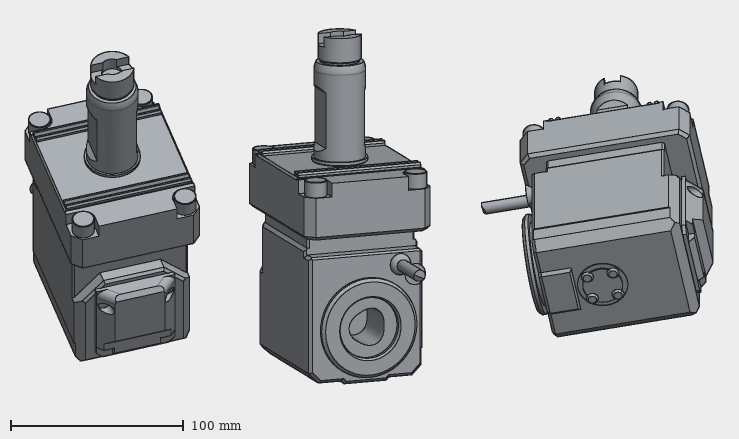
import cadquery as cq
import math

TOTAL_HEIGHT = 199.1

BLOCK_LENGTH, BLOCK_WIDTH = 100.0, 78.0
BLOCK_BOTTOM, BLOCK_TOP = 89.8, 123.2
BLOCK_CORNER = 5.4
BLOCK_BOTTOM_CHAMFER = 2.0
PLATE_TOP = 123.8
PLATE_LENGTH = 65.3
PLATE_BEVEL_WIDTH, PLATE_BEVEL_HEIGHT = 1.0, 1.4

RIB_CENTER = 29.0
RIB_WIDTH = 7.0
RIB_SHOULDER, RIB_TOP, RIB_VALLEY = 125.2, 126.5, 124.2
RIB_CREST_INNER, RIB_CREST_OUTER = 1.4, 2.5
RIB_VALLEY_WIDTH = 0.8
RIB_LENGTH = 75.7

SCREW_X, SCREW_Y = 42.5, 30.9
SCREW_DIAMETER = 13.0
SCREW_TOP = 124.2
SCREW_EDGE = 0.4
POCKET_FLOOR = 115.0
POCKET_REACH = 7.2

SHAFT_DIAMETER = 30.0
SHAFT_SHOULDER, SHAFT_END = 178.0, 183.0
SHAFT_END_DIAMETER = 27.5
COLLAR_DIAMETER, COLLAR_TOP = 32.5, 126.2
COLLAR_CHAMFER = 0.5
NECK_DIAMETER = 23.0
HEAD_DIAMETER, HEAD_BOTTOM, HEAD_CHAMFER = 25.0, 184.0, 0.8
HEAD_SLOT_WIDTH, HEAD_SLOT_DEPTH = 9.5, 6.0
HEAD_HOLE_DIAMETER, HEAD_HOLE_DEPTH = 12.5, 8.0
FLAT_OFFSET = 12.0
FLAT_BOTTOM, FLAT_TOP = 133.8, 166.6

BODY_HALF_WIDTH = 35.0
BODY_BOTTOM = 3.0
BODY_BOTTOM_CHAMFER = 6.2
BODY_LEFT, BODY_RIGHT = -43.2, 43.2
BODY_MID = 34.8
LEFT_TOP, LEFT_CHAMFER, LEFT_TOP_CHAMFER = 78.0, 1.8, 1.2
MID_SHOULDER, MID_TOP = 79.8, 82.0
NECK_HALF_WIDTH, NECK_CORNER = 33.2, 1.2
RIGHT_SHOULDER, RIGHT_TOP = 52.2, 68.9
RIGHT_CHAMFER, RIGHT_TOP_CHAMFER = 5.4, 1.5
SIDE_STEP_TOP, SIDE_STEP_DEPTH = 18.7, 0.5

FOOT_BAR_BOTTOM, FOOT_BAR_END = 1.2, -24.9
FOOT_BAR_HALF_WIDTH, FOOT_BAR_SLOPE = 14.1, 1.2
PAD_X = -8.0
PAD_DIAMETER, PAD_BOTTOM = 29.0, 2.4
PEDESTAL_DIAMETER, PEDESTAL_BOTTOM = 23.0, 1.4
FOOT_OFFSET = 7.5
FOOT_DIAMETER, FOOT_TIP_DIAMETER = 7.0, 4.8

FLANGE_Z = 34.8
FLANGE_DIAMETER, FLANGE_FACE, FLANGE_BACK = 59.0, -50.0, -46.2
FLANGE_CHAMFER = 1.8
FLANGE_NECK_DIAMETER = 49.0
RECESS_DIAMETER, RECESS_DEPTH, RECESS_CHAMFER = 36.0, 4.2, 1.0
RECESS_CHAMFER_DEPTH = 1.8
CAM_CORNER_RADIUS, CAM_SIDE_RADIUS, CAM_DEPTH = 11.5, 10.2, 27.9

CABLE_Y, CABLE_Z, CABLE_DIAMETER = -21.1, 69.9, 7.0
CABLE_END = -74.7
CABLE_CUT_DEPTH, CABLE_CUT_OFFSET, CABLE_CUT_ANGLE = 1.8, 0.5, 24.0
GROMMET_DIAMETER, GROMMET_FACE = 12.5, -47.2
INDICATOR_Y, INDICATOR_Z = -29.0, 64.1
INDICATOR_DIAMETER, INDICATOR_BASE_DIAMETER, INDICATOR_FACE = 12.5, 7.5, -46.5

COVER_FACE, COVER_HALF_WIDTH = 45.4, 23.9
COVER_BOTTOM, COVER_TOP, COVER_CHAMFER = 10.4, 65.0, 4.0
KNOB_FACE, KNOB_FACE_HALF_WIDTH = 54.2, 15.1
KNOB_STEP = 49.0
KNOB_BOTTOM, KNOB_STEP_TOP = 14.7, 24.5
KNOB_EDGE, KNOB_TOP_FILLET = 2.8, 4.8
KNOB_SIDE_BOTTOM, KNOB_TAIL_HALF_WIDTH = 19.1, 14.0
SCALLOP_Y, SCALLOP_Z, SCALLOP_DIAMETER = 19.1, 54.2, 7.5


def box(x0, x1, y0, y1, z0, z1):
    return cq.Workplane("XY").box(x1 - x0, y1 - y0, z1 - z0, centered=False).translate((x0, y0, z0))


def disc(x, y, z0, z1, diameter):
    return cq.Workplane("XY", origin=(x, y, z0)).circle(diameter / 2).extrude(z1 - z0)


def disc_along_x(x0, x1, y, z, diameter):
    return cq.Workplane("YZ", origin=(x0, y, z)).circle(diameter / 2).extrude(x1 - x0)


def cone_along_x(x0, diameter0, x1, diameter1, y, z):
    profile = [(x0, 0), (x0, diameter0 / 2), (x1, diameter1 / 2), (x1, 0)]
    return cq.Workplane("XY").polyline(profile).close().revolve(360, (0, 0), (1, 0)).translate((0, y, z))


def prism_along_x(outline, x0, x1):
    """Extrude a closed (Y, Z) outline from x0 to x1."""
    return cq.Workplane("YZ", origin=(x0, 0, 0)).polyline(outline).close().extrude(x1 - x0)


def prism_along_y(outline, half_width):
    """Extrude a closed (X, Z) outline to both sides of Y = 0."""
    return cq.Workplane("XZ").polyline(outline).close().extrude(half_width, both=True)


def mirrored(points):
    """Complete a half outline by mirroring it about its second axis."""
    return points + [(-a, b) for a, b in reversed(points)]


def make_block():
    height = BLOCK_TOP - BLOCK_BOTTOM
    block = (
        cq.Workplane("XY", origin=(0, 0, BLOCK_BOTTOM))
        .rect(BLOCK_LENGTH, BLOCK_WIDTH)
        .extrude(height)
        .edges("|Z")
        .chamfer(BLOCK_CORNER)
        .faces("<Z")
        .edges()
        .chamfer(BLOCK_BOTTOM_CHAMFER)
    )
    half_width = BLOCK_WIDTH / 2
    bevel_bottom = PLATE_TOP - PLATE_BEVEL_HEIGHT
    half_length = PLATE_LENGTH / 2
    for side in (1, -1):
        edge = sorted((side * half_width, side * (half_width - PLATE_BEVEL_WIDTH)))
        block = block.cut(box(-half_length, half_length, *edge, bevel_bottom, BLOCK_TOP))
    plate = prism_along_x(
        mirrored([
            (half_width, BLOCK_BOTTOM + BLOCK_BOTTOM_CHAMFER),
            (half_width, bevel_bottom),
            (half_width - PLATE_BEVEL_WIDTH, PLATE_TOP),
        ]),
        -half_length,
        half_length,
    )
    return block.union(plate)


def make_ribs():
    rib_outline = mirrored([
        (RIB_WIDTH / 2, PLATE_TOP - PLATE_BEVEL_HEIGHT),
        (RIB_WIDTH / 2, RIB_SHOULDER),
        (RIB_CREST_OUTER, RIB_TOP),
        (RIB_CREST_INNER, RIB_TOP),
        (RIB_VALLEY_WIDTH / 2, RIB_VALLEY),
    ])
    rib = prism_along_y(rib_outline, RIB_LENGTH / 2)
    ribs = rib.translate((-RIB_CENTER, 0, 0)).union(rib.translate((RIB_CENTER, 0, 0)))
    return ribs


def add_screws(part):
    pocket_x = SCREW_X - POCKET_REACH
    pocket_y = SCREW_Y - POCKET_REACH
    for side_x in (-1, 1):
        for side_y in (-1, 1):
            xs = sorted((side_x * pocket_x, side_x * BLOCK_LENGTH))
            ys = sorted((side_y * pocket_y, side_y * BLOCK_WIDTH))
            inner_corner = ("<X" if side_x > 0 else ">X", "<Y" if side_y > 0 else ">Y")
            pocket = (
                box(*xs, *ys, POCKET_FLOOR, TOTAL_HEIGHT)
                .faces(inner_corner[0])
                .edges(inner_corner[1])
                .fillet(POCKET_REACH)
            )
            screw = disc(side_x * SCREW_X, side_y * SCREW_Y, POCKET_FLOOR, SCREW_TOP, SCREW_DIAMETER)
            part = part.cut(pocket).union(screw.faces(">Z").edges().chamfer(SCREW_EDGE))
    return part


def make_shaft():
    radius = SHAFT_DIAMETER / 2
    end_radius = SHAFT_END_DIAMETER / 2
    shoulder_mid = ((radius + end_radius) / 2 + 0.4, (SHAFT_SHOULDER + SHAFT_END) / 2)
    shaft = (
        cq.Workplane("XZ")
        .moveTo(0, BLOCK_BOTTOM)
        .lineTo(radius, BLOCK_BOTTOM)
        .lineTo(radius, SHAFT_SHOULDER)
        .threePointArc(shoulder_mid, (end_radius, SHAFT_END))
        .lineTo(0, SHAFT_END)
        .close()
        .revolve(360, (0, 0), (0, 1))
    )
    depth = radius - FLAT_OFFSET
    flat = prism_along_x(
        [
            (FLAT_OFFSET, FLAT_BOTTOM),
            (FLAT_OFFSET, FLAT_TOP),
            (FLAT_OFFSET + depth, FLAT_TOP + depth),
            (FLAT_OFFSET + depth, FLAT_BOTTOM - depth),
        ],
        -radius,
        radius,
    )
    shaft = shaft.cut(flat).cut(flat.mirror("XZ"))
    collar = disc(0, 0, PLATE_TOP, COLLAR_TOP, COLLAR_DIAMETER).faces("<Z").edges().chamfer(COLLAR_CHAMFER)
    neck = disc(0, 0, BLOCK_BOTTOM, TOTAL_HEIGHT, NECK_DIAMETER)
    head = disc(0, 0, HEAD_BOTTOM, TOTAL_HEIGHT, HEAD_DIAMETER).faces("<Z").edges().chamfer(HEAD_CHAMFER)
    slot = box(
        -HEAD_SLOT_WIDTH / 2, HEAD_SLOT_WIDTH / 2,
        -HEAD_DIAMETER, HEAD_DIAMETER,
        TOTAL_HEIGHT - HEAD_SLOT_DEPTH, TOTAL_HEIGHT,
    )
    hole = disc(0, 0, TOTAL_HEIGHT - HEAD_HOLE_DEPTH, TOTAL_HEIGHT, HEAD_HOLE_DIAMETER)
    return shaft.union(collar).union(neck).union(head).cut(slot).cut(hole)


def lower_outline(upper_points):
    """Half-width housing outline: chamfered bottom, then the given upper points."""
    return mirrored([
        (BODY_HALF_WIDTH - BODY_BOTTOM_CHAMFER, BODY_BOTTOM),
        (BODY_HALF_WIDTH, BODY_BOTTOM + BODY_BOTTOM_CHAMFER),
        *upper_points,
    ])


def make_right_end():
    shoulder_run = RIGHT_TOP - RIGHT_SHOULDER
    outline = lower_outline([
        (BODY_HALF_WIDTH, RIGHT_SHOULDER),
        (BODY_HALF_WIDTH - shoulder_run, RIGHT_TOP),
    ])
    plan = [
        (0, BODY_HALF_WIDTH),
        (BODY_RIGHT - RIGHT_CHAMFER, BODY_HALF_WIDTH),
        (BODY_RIGHT, BODY_HALF_WIDTH - RIGHT_CHAMFER),
    ]
    plan += [(x, -y) for x, y in reversed(plan)]
    profile = [
        (0, BODY_BOTTOM),
        (BODY_RIGHT - RIGHT_CHAMFER, BODY_BOTTOM),
        (BODY_RIGHT, BODY_BOTTOM + RIGHT_CHAMFER),
        (BODY_RIGHT, RIGHT_TOP),
        (0, RIGHT_TOP),
    ]
    end = prism_along_x(outline, 0, BODY_RIGHT)
    end = end.intersect(cq.Workplane("XY").polyline(plan).close().extrude(RIGHT_TOP))
    end = end.intersect(prism_along_y(profile, BODY_HALF_WIDTH))
    upper_edges = end.faces(">X").edges(cq.selectors.BoxSelector(
        (0, -BODY_HALF_WIDTH, RIGHT_SHOULDER),
        (2 * BODY_RIGHT, BODY_HALF_WIDTH, 2 * RIGHT_TOP),
    ))
    return upper_edges.chamfer(RIGHT_TOP_CHAMFER)


def make_left_end():
    outline = lower_outline([(BODY_HALF_WIDTH, LEFT_TOP)])
    end = prism_along_x(outline, BODY_LEFT, -BODY_MID)
    bar_top_half_width = FOOT_BAR_HALF_WIDTH + BODY_BOTTOM - FOOT_BAR_BOTTOM - FOOT_BAR_SLOPE
    bar_outline = mirrored([
        (FOOT_BAR_HALF_WIDTH - FOOT_BAR_SLOPE, FOOT_BAR_BOTTOM),
        (bar_top_half_width, BODY_BOTTOM),
        (bar_top_half_width, LEFT_TOP / 2),
    ])
    bar = prism_along_x(bar_outline, BODY_LEFT, -BODY_MID)
    end = end.union(bar).faces("<X").edges("not >Z").chamfer(LEFT_CHAMFER)
    end = end.faces(">Z").edges("|X").chamfer(LEFT_CHAMFER)
    end = end.faces(">Z").edges("<X").chamfer(LEFT_TOP_CHAMFER)
    corner_fill = box(
        -BODY_MID, NECK_CORNER - BODY_MID,
        -BODY_HALF_WIDTH, BODY_HALF_WIDTH,
        RIGHT_SHOULDER, LEFT_TOP,
    )
    end = end.union(corner_fill.edges(">Z and |X").chamfer(LEFT_CHAMFER))
    bar_rest = prism_along_x(bar_outline, -BODY_MID, FOOT_BAR_END + FOOT_BAR_SLOPE)
    bar_rest = bar_rest.faces("<Z").edges(">X").chamfer(FOOT_BAR_SLOPE)
    return end.union(bar_rest)


def make_housing():
    middle = prism_along_x(
        lower_outline([(BODY_HALF_WIDTH, MID_SHOULDER), (NECK_HALF_WIDTH, MID_TOP)]),
        -BODY_MID,
        BODY_MID,
    )
    middle = middle.edges("|Z").chamfer(NECK_CORNER)
    core = prism_along_x(lower_outline([(BODY_HALF_WIDTH, RIGHT_SHOULDER)]), -BODY_MID, BODY_MID)
    neck = (
        box(-BODY_MID, BODY_MID, -NECK_HALF_WIDTH, NECK_HALF_WIDTH, RIGHT_TOP, BLOCK_BOTTOM)
        .edges("|Z")
        .chamfer(NECK_CORNER)
    )
    housing = middle.union(core).union(neck).union(make_left_end()).union(make_right_end())
    side_step = box(
        BODY_LEFT, BODY_RIGHT,
        -BODY_HALF_WIDTH, SIDE_STEP_DEPTH - BODY_HALF_WIDTH,
        0, SIDE_STEP_TOP,
    )
    return housing.cut(side_step)


def make_feet():
    feet = disc(PAD_X, 0, PAD_BOTTOM, BODY_BOTTOM, PAD_DIAMETER)
    feet = feet.union(disc(PAD_X, 0, PEDESTAL_BOTTOM, BODY_BOTTOM, PEDESTAL_DIAMETER))
    foot = (
        cq.Workplane("XY")
        .circle(FOOT_TIP_DIAMETER / 2)
        .workplane(offset=PEDESTAL_BOTTOM)
        .circle(FOOT_DIAMETER / 2)
        .loft()
    )
    for side_x in (-1, 1):
        for side_y in (-1, 1):
            feet = feet.union(foot.translate((PAD_X + side_x * FOOT_OFFSET, side_y * FOOT_OFFSET, 0)))
    return feet


def cam_point(angle):
    """Three-lobed outline with one lobe pointing along +Y."""
    mean = (CAM_CORNER_RADIUS + CAM_SIDE_RADIUS) / 2
    swing = (CAM_CORNER_RADIUS - CAM_SIDE_RADIUS) / 2
    radius = mean + swing * math.cos(3 * angle)
    return radius * math.cos(angle), radius * math.sin(angle)


def add_flange(part):
    rim = disc_along_x(FLANGE_FACE, FLANGE_BACK, 0, FLANGE_Z, FLANGE_DIAMETER)
    rim = rim.faces("<X").edges().chamfer(FLANGE_CHAMFER)
    neck = disc_along_x(FLANGE_BACK, BODY_LEFT, 0, FLANGE_Z, FLANGE_NECK_DIAMETER)
    recess_floor = FLANGE_FACE + RECESS_DEPTH
    recess = disc_along_x(FLANGE_FACE, recess_floor, 0, FLANGE_Z, RECESS_DIAMETER)
    lead_in = cone_along_x(
        FLANGE_FACE, RECESS_DIAMETER + 2 * RECESS_CHAMFER,
        FLANGE_FACE + RECESS_CHAMFER_DEPTH, RECESS_DIAMETER,
        0, FLANGE_Z,
    )
    cam_points = [cam_point(math.radians(angle)) for angle in range(0, 360, 20)]
    cam = (
        cq.Workplane("YZ", origin=(recess_floor, 0, FLANGE_Z))
        .spline(cam_points, periodic=True)
        .close()
        .extrude(CAM_DEPTH)
    )
    return part.union(rim).union(neck).cut(recess).cut(lead_in).cut(cam)


def make_cable():
    radius = CABLE_DIAMETER / 2
    cable = disc_along_x(CABLE_END, BODY_LEFT, 0, 0, CABLE_DIAMETER)
    tip_cut = prism_along_y(
        [
            (CABLE_END, -CABLE_CUT_OFFSET),
            (CABLE_END, -radius),
            (CABLE_END + CABLE_CUT_DEPTH, -radius),
        ],
        radius,
    )
    cable = cable.cut(tip_cut.rotate((0, 0, 0), (1, 0, 0), CABLE_CUT_ANGLE))
    outer = GROMMET_DIAMETER / 2
    bulge = ((BODY_LEFT + GROMMET_FACE) / 2 - 0.5, (outer + radius) / 2 + 0.5)
    grommet = (
        cq.Workplane("XY")
        .moveTo(BODY_LEFT, 0)
        .lineTo(BODY_LEFT, outer)
        .threePointArc(bulge, (GROMMET_FACE, radius))
        .lineTo(GROMMET_FACE, 0)
        .close()
        .revolve(360, (0, 0), (1, 0))
    )
    return cable.union(grommet).translate((0, CABLE_Y, CABLE_Z))


def make_indicator():
    return cone_along_x(
        INDICATOR_FACE, INDICATOR_DIAMETER,
        BODY_LEFT, INDICATOR_BASE_DIAMETER,
        INDICATOR_Y, INDICATOR_Z,
    )


def make_cover():
    plate = box(BODY_RIGHT, COVER_FACE, -COVER_HALF_WIDTH, COVER_HALF_WIDTH, COVER_BOTTOM, COVER_TOP)
    plate = plate.faces("<Z").edges("|X").chamfer(COVER_CHAMFER)
    knob = prism_along_y(
        [
            (COVER_FACE, KNOB_BOTTOM - (KNOB_STEP - COVER_FACE)),
            (KNOB_STEP, KNOB_BOTTOM),
            (KNOB_STEP, KNOB_STEP_TOP),
            (KNOB_FACE, KNOB_STEP_TOP + KNOB_FACE - KNOB_STEP),
            (KNOB_FACE, COVER_TOP - KNOB_EDGE),
            (KNOB_FACE - KNOB_EDGE, COVER_TOP),
            (COVER_FACE, COVER_TOP),
        ],
        COVER_HALF_WIDTH,
    )
    base_half_width = KNOB_FACE_HALF_WIDTH + KNOB_FACE - COVER_FACE
    taper = [
        (COVER_FACE, base_half_width),
        (KNOB_FACE, KNOB_FACE_HALF_WIDTH),
        (KNOB_FACE, -KNOB_FACE_HALF_WIDTH),
        (COVER_FACE, -base_half_width),
    ]
    knob = knob.intersect(cq.Workplane("XY").polyline(taper).close().extrude(COVER_TOP))
    knob = knob.faces(">Z").edges("not |Y").fillet(KNOB_TOP_FILLET)
    for side in (-1, 1):
        beside_tail = sorted((side * KNOB_TAIL_HALF_WIDTH, side * COVER_HALF_WIDTH))
        knob = knob.cut(box(COVER_FACE, KNOB_FACE, *beside_tail, 0, KNOB_SIDE_BOTTOM))
        knob = knob.cut(
            disc_along_x(COVER_FACE, KNOB_FACE, side * SCALLOP_Y, SCALLOP_Z, SCALLOP_DIAMETER)
        )
    return plate.union(knob)


result = add_screws(make_block().union(make_ribs()))
result = result.union(make_shaft()).union(make_housing()).union(make_feet())
result = add_flange(result).union(make_cable()).union(make_indicator()).union(make_cover())